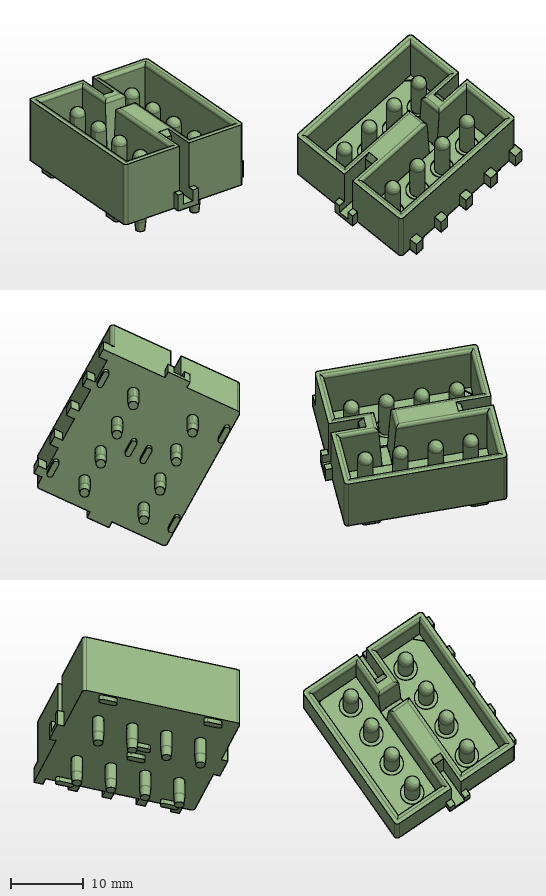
import cadquery as cq


box_x = 22.86
box_y = 19.96
box_z = 9.5
corner_radius = 0.5
wall = 1.1
rim_radius = 0.52
floor_z = 1.16
divider_y = 3.4

notch_x = -3.7
notch_top_x = 2.48
notch_floor_x = 1.44

slot_y = 1.59
slot_floor_z = 0.82
slot_end_x = 7.25
slot_chamfer_x = 0.77
slot_chamfer_z = 0.75
passage_z = 0.2

overall_x = 24.77
lug_z = 2.53
tab_x = 1.31
tab_y = 1.25
tab_count = 5

pitch = 4.95
row_spacing = 9.15
pins_per_row = 4
pin_radius = 1.07
pin_top_z = 8.25
tail_radius = 0.8
tail_tip_radius = 0.65
tail_taper_z = -2.72
tail_tip_z = -4.2

floor_step = 0.2
recess_radius = 1.6
corner_pad = 1.25

foot_x = 2.6
foot_y = 0.82
foot_z = 0.77
foot_spacing_x = 15.23
outer_foot_y = 9.35
inner_foot_y = 1.16

cavity_x = box_x - 2 * wall
cavity_y = (box_y - 2 * wall - divider_y) / 2
cavity_center_y = (divider_y + cavity_y) / 2
pin_points = [
    ((i - (pins_per_row - 1) / 2) * pitch, side * row_spacing / 2)
    for i in range(pins_per_row)
    for side in (-1, 1)
]


def block(x0, x1, y0, y1, z0, z1):
    """Box between two opposite corners."""
    return cq.Workplane("XY").box(x1 - x0, y1 - y0, z1 - z0, centered=False).translate((x0, y0, z0))


def make_shell():
    """Box with two cavities joined by the key notch, its inner rim rounded."""
    shell = cq.Workplane("XY").box(box_x, box_y, box_z, centered=(True, True, False))
    shell = shell.edges("|Z").fillet(corner_radius)
    cavities = (
        cq.Workplane("XY", origin=(0, 0, floor_z))
        .pushPoints([(0, -cavity_center_y), (0, cavity_center_y)])
        .rect(cavity_x, cavity_y)
        .extrude(box_z - floor_z)
    )
    notch = (
        cq.Workplane("XZ", origin=(notch_x, 0, 0))
        .polyline([
            (-notch_floor_x / 2, slot_floor_z),
            (notch_floor_x / 2, slot_floor_z),
            (notch_top_x / 2, box_z),
            (-notch_top_x / 2, box_z),
        ])
        .close()
        .extrude(divider_y / 2, both=True)
    )
    shell = shell.cut(cavities).cut(notch)
    top_face = shell.faces(">Z").val()
    inner_rim = [edge for wire in top_face.innerWires() for edge in wire.Edges()]
    return shell.newObject(inner_rim).fillet(rim_radius)


def make_end_slot(side):
    """Slot open to one end of the box, with a chamfer on its inner top edge."""
    return (
        cq.Workplane("XZ")
        .polyline([
            (side * overall_x / 2, slot_floor_z),
            (side * slot_end_x, slot_floor_z),
            (side * slot_end_x, box_z - slot_chamfer_z),
            (side * (slot_end_x - slot_chamfer_x), box_z),
            (side * overall_x / 2, box_z),
        ])
        .close()
        .extrude(slot_y / 2, both=True)
    )


def make_tabs():
    """Row of tabs behind the box, the first flush with its -X face."""
    tabs = cq.Workplane("XY")
    for i in range(tab_count):
        x0 = -box_x / 2 + i * pitch
        tabs = tabs.union(block(x0, x0 + tab_x, box_y / 2 - wall, box_y / 2 + tab_y, 0, lug_z))
    return tabs


def make_corner_pads():
    """Low triangular pads in the four outer corners of the cavities."""
    pads = cq.Workplane("XY")
    for sx in (-1, 1):
        for sy in (-1, 1):
            x = sx * cavity_x / 2
            y = sy * (box_y / 2 - wall)
            pad = (
                cq.Workplane("XY", origin=(0, 0, floor_z))
                .polyline([(x, y), (x - sx * corner_pad, y), (x, y - sy * corner_pad)])
                .close()
                .extrude(floor_step)
            )
            pads = pads.union(pad)
    return pads


def make_pin():
    """Domed contact pin with a thinner tail that tapers at its tip."""
    return (
        cq.Workplane("XZ")
        .moveTo(0, tail_tip_z)
        .lineTo(tail_tip_radius, tail_tip_z)
        .lineTo(tail_radius, tail_taper_z)
        .lineTo(tail_radius, 0)
        .lineTo(pin_radius, 0)
        .lineTo(pin_radius, pin_top_z - pin_radius)
        .radiusArc((0, pin_top_z), -pin_radius)
        .close()
        .revolve(360, (0, 0), (0, 1))
    )


def make_feet():
    """Round-ended feet: one near each corner and two beside the centre."""
    points = [(0, -inner_foot_y), (0, inner_foot_y)]
    for sx in (-1, 1):
        for sy in (-1, 1):
            points.append((sx * foot_spacing_x / 2, sy * outer_foot_y))
    return cq.Workplane("XY").pushPoints(points).slot2D(foot_x, foot_y).extrude(-foot_z)


result = make_shell()

lug_x = (overall_x - box_x) / 2
for side in (-1, 1):
    lug_center_x = side * (box_x / 2 + lug_x / 2)
    lug = cq.Workplane("XY").box(lug_x, divider_y, lug_z, centered=(True, True, False))
    result = result.union(lug.translate((lug_center_x, 0, 0)))
for side in (-1, 1):
    result = result.cut(make_end_slot(side))
passage_top_z = slot_floor_z + passage_z
passage = block(-slot_end_x, slot_end_x, -slot_y / 2, slot_y / 2, slot_floor_z, passage_top_z)
result = result.cut(passage)

recesses = (
    cq.Workplane("XY", origin=(0, 0, floor_z))
    .pushPoints(pin_points)
    .circle(recess_radius)
    .extrude(-floor_step)
)
result = result.cut(recesses).union(make_corner_pads()).union(make_tabs()).union(make_feet())

pin = make_pin()
for x, y in pin_points:
    result = result.union(pin.translate((x, y, 0)))